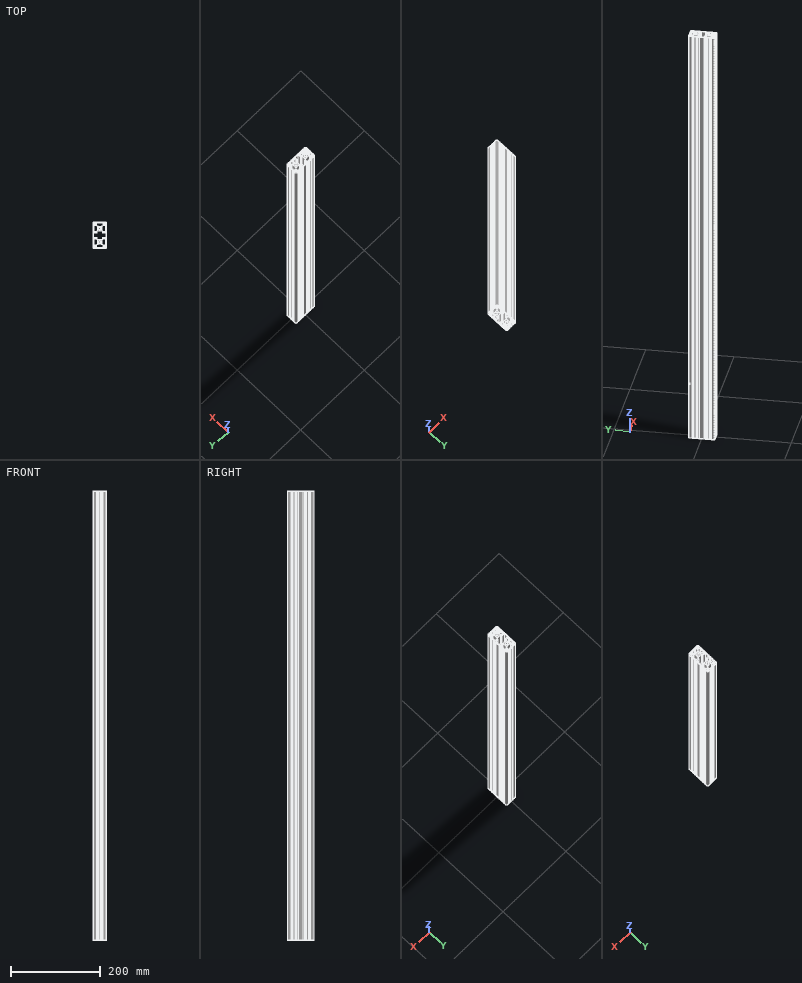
import cadquery as cq

LENGTH = 1000.0
CELL = 30.0
HALF_CELL = CELL / 2
CORNER_RADIUS = 3.0
WALL = 1.5

BORE_DIAMETER = 5.0

SLOT_FLOOR = 5.0
SLOT_FLOOR_HALF_WIDTH = 2.5
SLOT_SHOULDER = 6.2
SLOT_HALF_WIDTH = 7.0

GROOVE_DEPTH = 0.5
GROOVE_INNER_EDGE = 2.0
GROOVE_OUTER_EDGE = 4.4
PAD_HEIGHT = 1.0
PAD_HALF_WIDTH = 5.0

CHANNEL_HALF_HEIGHT = 5.0
CORE_HALF_WIDTH = 6.5
CORE_SIDE_HALF_HEIGHT = 7.5
CORE_TOP_HALF_WIDTH = 5.0
CORE_HALF_HEIGHT = 9.0

POCKET_WALL = 3.0
POCKET_SIZE = 3.0


def bar(half_outline):
    """Extrude an outline given by its +Y half, mirrored about the X axis."""
    lower_half = [(x, -y) for x, y in reversed(half_outline)]
    return cq.Workplane("XY").polyline(half_outline + lower_half).close().extrude(LENGTH)


def box(width, height, x, y):
    """Rectangular bar centred on (x, y)."""
    return cq.Workplane("XY").center(x, y).rect(width, height).extrude(LENGTH)


def slot():
    """Cavity and outer grooves of one slot, facing +X from the cell centre."""
    inner_face = HALF_CELL - WALL
    cavity = bar([
        (SLOT_FLOOR, SLOT_FLOOR_HALF_WIDTH),
        (SLOT_SHOULDER, SLOT_HALF_WIDTH),
        (inner_face, SLOT_HALF_WIDTH),
        (inner_face, PAD_HALF_WIDTH),
        (inner_face - PAD_HEIGHT, PAD_HALF_WIDTH),
    ])
    groove_width = GROOVE_OUTER_EDGE - GROOVE_INNER_EDGE
    groove_x = HALF_CELL - GROOVE_DEPTH / 2
    groove_y = (GROOVE_INNER_EDGE + GROOVE_OUTER_EDGE) / 2
    for y in (-groove_y, groove_y):
        cavity = cavity.add(box(GROOVE_DEPTH, groove_width, groove_x, y))
    return cavity.combine()


def hollow():
    """Opening between the two cells, symmetric about both axes."""
    inner_face = HALF_CELL - WALL
    right_half = [
        (CORE_TOP_HALF_WIDTH, CORE_HALF_HEIGHT),
        (CORE_HALF_WIDTH, CORE_SIDE_HALF_HEIGHT),
        (CORE_HALF_WIDTH, CHANNEL_HALF_HEIGHT),
        (inner_face, CHANNEL_HALF_HEIGHT),
    ]
    left_half = [(-x, y) for x, y in reversed(right_half)]
    return bar(left_half + right_half)


result = cq.Workplane("XY").rect(CELL, 2 * CELL).extrude(LENGTH)
result = result.edges("|Z").fillet(CORNER_RADIUS)
result = result.cut(hollow())

pocket_offset = HALF_CELL - POCKET_WALL - POCKET_SIZE / 2
for side in (-1, 1):
    centre_y = side * HALF_CELL
    bore = cq.Workplane("XY").center(0, centre_y).circle(BORE_DIAMETER / 2).extrude(LENGTH)
    result = result.cut(bore)
    for angle in (0, 180, side * 90):
        turned_slot = slot().rotate((0, 0, 0), (0, 0, 1), angle)
        result = result.cut(turned_slot.translate((0, centre_y, 0)))
    for pocket_x in (-pocket_offset, pocket_offset):
        pocket = box(POCKET_SIZE, POCKET_SIZE, pocket_x, centre_y + side * pocket_offset)
        result = result.cut(pocket)